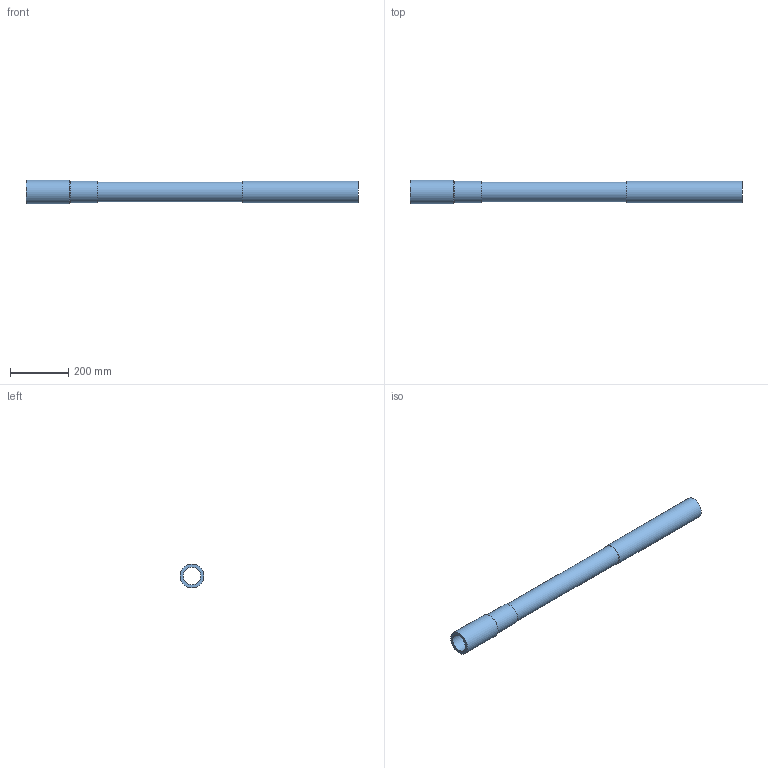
import cadquery as cq

total_length = 1143.0
socket_diameter = 82.25
tube_diameter = 73.5
waist_diameter = 67.6
bore_diameter = 61.0

socket_length = 148.7
shoulder_length = 3.5
waist_length = 496.5
tail_length = 398.8

shoulder_end = socket_length + shoulder_length
tail_start = total_length - tail_length
waist_start = tail_start - waist_length


def tube_body():
    """Solid stepped shaft, with a conical shoulder behind the socket, revolved about the X axis."""
    socket_radius = socket_diameter / 2
    tube_radius = tube_diameter / 2
    waist_radius = waist_diameter / 2
    profile = [
        (0, 0),
        (0, socket_radius),
        (socket_length, socket_radius),
        (shoulder_end, tube_radius),
        (waist_start, tube_radius),
        (waist_start, waist_radius),
        (tail_start, waist_radius),
        (tail_start, tube_radius),
        (total_length, tube_radius),
        (total_length, 0),
    ]
    return cq.Workplane("XZ").polyline(profile).close().revolve(360, (0, 0, 0), (1, 0, 0))


def bore():
    """Straight through bore along the X axis."""
    return cq.Workplane("YZ").circle(bore_diameter / 2).extrude(total_length)


result = tube_body().cut(bore())